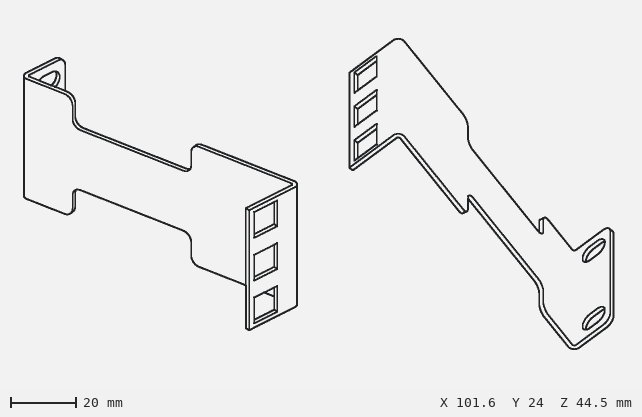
import cadquery as cq
import math

length = 101.6
depth = 24.0
height = 44.5
thickness = 1.5
bend_outer = 2.2
bend_inner = bend_outer - thickness

left_flange_end_y = 17.0
right_flange_end_y = 2.9
left_corner_radius = 3.0

waist_left_x = 19.2
waist_right_x = 62.5
waist_height = 22.3
waist_corner_radius = 3.0

hole_center_y = 9.9
slot_length = 9.5
slot_height = 6.4
slot_pitch = 31.7
square_size = 9.5
square_pitch = 15.8

left_center = (bend_outer, bend_outer)
right_center = (length - bend_outer, depth - bend_outer)
span_x = right_center[0] - left_center[0]
span_y = right_center[1] - left_center[1]
web_angle = math.degrees(
    math.atan2(span_y, span_x) + math.asin((bend_outer + bend_inner) / math.hypot(span_x, span_y))
)
web_direction = cq.Vector(math.cos(math.radians(web_angle)), math.sin(math.radians(web_angle)), 0)
web_normal = cq.Vector(-web_direction.y, web_direction.x, 0)


def on_bend(center, radius, angle):
    """Point on a bend arc at an angle in degrees from +X."""
    turn = math.radians(angle)
    return (center[0] + radius * math.cos(turn), center[1] + radius * math.sin(turn))


def bent_sheet():
    """Z-shaped profile extruded over the full height, centred on Z = 0."""
    left_tangent = web_angle - 90
    left_middle = (left_tangent - 180) / 2
    right_tangent = web_angle + 90
    right_middle = right_tangent / 2
    return (
        cq.Workplane("XY", origin=(0, 0, -height / 2))
        .moveTo(0, left_flange_end_y)
        .lineTo(0, bend_outer)
        .threePointArc(
            on_bend(left_center, bend_outer, left_middle),
            on_bend(left_center, bend_outer, left_tangent),
        )
        .lineTo(*on_bend(right_center, bend_inner, right_tangent))
        .threePointArc(
            on_bend(right_center, bend_inner, right_middle),
            (length - thickness, right_center[1]),
        )
        .lineTo(length - thickness, right_flange_end_y)
        .lineTo(length, right_flange_end_y)
        .lineTo(length, right_center[1])
        .threePointArc(
            on_bend(right_center, bend_outer, right_middle),
            on_bend(right_center, bend_outer, right_tangent),
        )
        .lineTo(*on_bend(left_center, bend_inner, left_tangent))
        .threePointArc(
            on_bend(left_center, bend_inner, left_middle),
            (thickness, left_center[1]),
        )
        .lineTo(thickness, left_flange_end_y)
        .close()
        .extrude(height)
    )


def round_left_corners(body):
    """Round the free corners of the left flange."""
    return body.edges("|X").edges("<X").fillet(left_corner_radius)


def cut_waist(body):
    """Notch both long edges of the web square to its surface, then round the notch corners."""
    middle = cq.Vector((left_center[0] + right_center[0]) / 2, (left_center[1] + right_center[1]) / 2, 0)
    waist_middle_x = (waist_left_x + waist_right_x) / 2
    origin = middle + web_direction * ((waist_middle_x - middle.x) / web_direction.x)
    waist_length = (waist_right_x - waist_left_x) / web_direction.x
    web_plane = cq.Plane(origin=origin.toTuple(), xDir=web_direction.toTuple(), normal=web_normal.toTuple())
    notches = (
        cq.Workplane(web_plane)
        .pushPoints([(0, side * height / 2) for side in (-1, 1)])
        .rect(waist_length, height - waist_height)
        .extrude(2 * thickness, both=True)
    )
    notched = body.cut(notches)
    return notched.edges(cq.selectors.ParallelDirSelector(web_normal)).fillet(waist_corner_radius)


def left_slots():
    return (
        cq.Workplane("YZ", origin=(-thickness, hole_center_y, 0))
        .pushPoints([(0, side * slot_pitch / 2) for side in (-1, 1)])
        .slot2D(slot_length, slot_height)
        .extrude(3 * thickness)
    )


def right_square_holes():
    return (
        cq.Workplane("YZ", origin=(length - 2 * thickness, hole_center_y, 0))
        .pushPoints([(0, row * square_pitch) for row in (-1, 0, 1)])
        .rect(square_size, square_size)
        .extrude(3 * thickness)
    )


sheet = round_left_corners(bent_sheet())
result = cut_waist(sheet).cut(left_slots()).cut(right_square_holes())